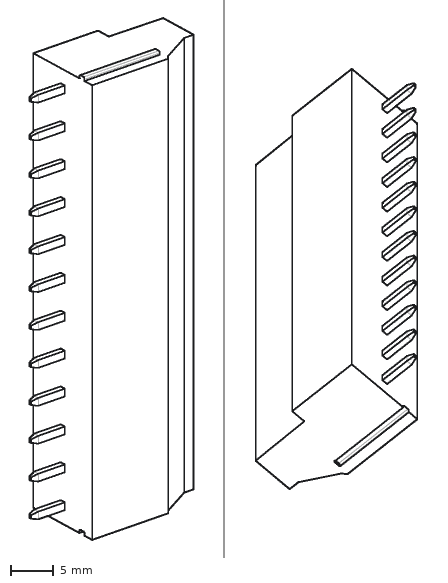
import cadquery as cq
import math

pole_count = 12
overall_height = 60.5
rail_height = 0.5
body_height = overall_height - rail_height
pitch = body_height / pole_count

body_width = 11.2
body_depth = 18.0
shelf_depth = 9.85
shelf_width = 2.05
head_left = 2.2
head_right = 8.0
head_side_depth = 16.6
slope_end_x = 10.65
slope_end_y = 12.0
side_depth = 11.6

rail_x = 9.25
rail_length = 11.45
rail_width = 0.95
rail_fillet = 0.21

overall_depth = 23.0
pin_length = overall_depth - body_depth
pin_x = 5.6
pin_width = 0.8
pin_height = 1.0
tip_length = 0.9
tip_width = 0.35
tip_height = 0.5
shank_length = pin_length - tip_length


def make_body():
    """Stepped housing section extruded along the row of poles."""
    outline = [
        (0, 0),
        (body_width, 0),
        (body_width, side_depth),
        (slope_end_x, slope_end_y),
        (head_right, head_side_depth),
        (head_right, body_depth),
        (head_left, body_depth),
        (shelf_width, shelf_depth),
        (0, shelf_depth),
    ]
    return cq.Workplane("XY").polyline(outline).close().extrude(body_height)


def make_rail(base_z):
    """Bar standing on base_z, starting at the pin face, with its long upper edges rounded."""
    left = rail_x - rail_width / 2
    right = rail_x + rail_width / 2
    top = base_z + rail_height
    arc_inset = rail_fillet * (1 - math.sqrt(0.5))
    section = (
        cq.Workplane("XZ")
        .moveTo(left, base_z)
        .lineTo(right, base_z)
        .lineTo(right, top - rail_fillet)
        .threePointArc((right - arc_inset, top - arc_inset), (right - rail_fillet, top))
        .lineTo(left + rail_fillet, top)
        .threePointArc((left + arc_inset, top - arc_inset), (left, top - rail_fillet))
        .close()
    )
    return section.extrude(-rail_length)


def make_pin(center_z):
    """Rectangular pin with a tapered tip, pointing towards -Y."""
    shank = (
        cq.Workplane("XZ")
        .center(pin_x, center_z)
        .rect(pin_width, pin_height)
        .extrude(shank_length)
    )
    tip = (
        cq.Workplane("XZ", origin=(0, -shank_length, 0))
        .center(pin_x, center_z)
        .rect(pin_width, pin_height)
        .workplane(offset=tip_length)
        .rect(tip_width, tip_height)
        .loft()
    )
    return shank.union(tip)


result = make_body().cut(make_rail(0)).union(make_rail(body_height))
for pole in range(pole_count):
    result = result.union(make_pin((pole + 0.5) * pitch))